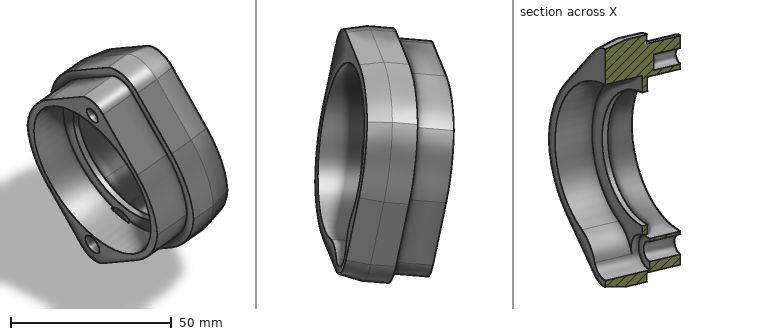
import cadquery as cq
import math

total_depth = 28.27
spigot_depth = 12.5
taper_start = 20.7
ledge_front = 12.3
ledge_thickness = 2.1
pocket_front = ledge_front + ledge_thickness
counterbore_floor = 11.6
blind_hole_depth = 10.0

screw_offset = 31.27
tip_radius = 9.86
side_radius = 34.4
flat_length = 22.08
flat_angle = math.radians(44.5)
spigot_inset = 3.0
taper_inset = 1.6

bore_diameter = 53.8
ledge_diameter = 44.29
lower_hole_diameter = 6.53
counterbore_diameter = 12.07
upper_hole_diameter = 5.12
pocket_radius = 27.7
pocket_blend_radius = 15.0


def at_depth(y):
    """Workplane facing the back (+Y); its local axes are (-X, Z)."""
    return cq.Workplane("XZ", origin=(0, y, 0)).transformed(rotate=(0, 180, 0))


def cylinder(diameter, y_start, y_end, z=0.0):
    return at_depth(y_start).center(0, z).circle(diameter / 2).extrude(y_end - y_start)


def outline(plane, inset):
    """Lozenge wire, inset evenly from the full flange outline."""
    normal = (math.sin(flat_angle), math.cos(flat_angle))
    along = (math.cos(flat_angle), -math.sin(flat_angle))
    tip = tip_radius - inset
    side = side_radius - inset
    tip_end = (tip * normal[0], screw_offset + tip * normal[1])
    side_end = (tip_end[0] + flat_length * along[0], tip_end[1] + flat_length * along[1])
    side_center = (side_end[0] - side * normal[0], side_end[1] - side * normal[1])
    waist = side_center[0] + math.sqrt(side**2 - side_center[1] ** 2)
    apex = screw_offset + tip

    start_angle = math.atan2(normal[1], normal[0])
    end_angle = math.atan2(-side_center[1], waist - side_center[0])
    mid_angle = (start_angle + end_angle) / 2
    side_mid = (
        side_center[0] + side * math.cos(mid_angle),
        side_center[1] + side * math.sin(mid_angle),
    )

    def flip(point, x_sign, z_sign):
        return (x_sign * point[0], z_sign * point[1])

    wire = plane.moveTo(*flip(tip_end, -1, 1))
    for sign in (1, -1):
        wire = (
            wire.threePointArc((0, sign * apex), flip(tip_end, sign, sign))
            .lineTo(*flip(side_end, sign, sign))
            .threePointArc(flip(side_mid, sign, sign), (sign * waist, 0))
            .threePointArc(flip(side_mid, sign, -sign), flip(side_end, sign, -sign))
            .lineTo(*flip(tip_end, sign, -sign))
        )
    return wire.close()


def body():
    spigot = outline(at_depth(0), spigot_inset).extrude(spigot_depth)
    flange = outline(at_depth(spigot_depth), 0).extrude(taper_start - spigot_depth)
    taper_base = outline(at_depth(taper_start), 0)
    taper = outline(
        taper_base.workplane(offset=total_depth - taper_start), taper_inset
    ).loft(ruled=True)
    return spigot.union(flange).union(taper)


def back_pocket():
    """Round pocket blended by tangent arcs into the lobe around the lower screw."""
    lobe_radius = counterbore_diameter / 2
    to_pocket = pocket_radius + pocket_blend_radius
    to_lobe = lobe_radius + pocket_blend_radius
    blend_z = (to_lobe**2 - to_pocket**2 - screw_offset**2) / (2 * screw_offset)
    blend_x = math.sqrt(to_pocket**2 - blend_z**2)
    pocket_share = pocket_radius / to_pocket
    lobe_share = lobe_radius / to_lobe
    pocket_touch = (blend_x * pocket_share, blend_z * pocket_share)
    lobe_touch = (blend_x * lobe_share, -screw_offset + (blend_z + screw_offset) * lobe_share)

    neck = (
        at_depth(pocket_front)
        .moveTo(*pocket_touch)
        .radiusArc(lobe_touch, -pocket_blend_radius)
        .lineTo(-lobe_touch[0], lobe_touch[1])
        .radiusArc((-pocket_touch[0], pocket_touch[1]), -pocket_blend_radius)
        .close()
        .extrude(total_depth - pocket_front)
    )
    round_pocket = cylinder(2 * pocket_radius, pocket_front, total_depth)
    lobe = cylinder(counterbore_diameter, counterbore_floor, total_depth, -screw_offset)
    return round_pocket.union(neck).union(lobe)


def holes():
    bore = cylinder(bore_diameter, 0, ledge_front)
    ledge_opening = cylinder(ledge_diameter, 0, total_depth)
    lower_hole = cylinder(lower_hole_diameter, 0, total_depth, -screw_offset)
    upper_hole = cylinder(upper_hole_diameter, 0, blind_hole_depth, screw_offset)
    return bore.union(ledge_opening).union(lower_hole).union(upper_hole)


result = body().cut(back_pocket()).cut(holes())